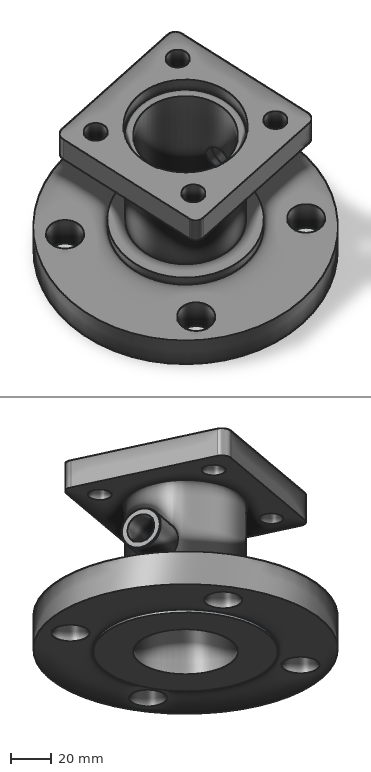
import cadquery as cq

pipe_diameter = 60.5
pipe_bore = 52.3

flange_diameter = 152.0
flange_thickness = 18.0
raised_face_diameter = 92.0
raised_face_height = 1.5
hub_diameter = 78.0
hub_height = 5.5
flange_bolt_circle = 120.7
flange_bolt_hole = 19.0

total_height = 95.0
square_side = 92.0
square_thickness = 15.0
square_corner_radius = 5.0
square_bolt_circle = 90.0
square_bolt_hole = 12.0
square_bore = 62.0
pipe_setback = 7.0

socket_diameter = 22.0
socket_bore = 15.0
socket_inner_y = 29.8
socket_length = 19.5
socket_outer_y = socket_inner_y + socket_length
socket_edge_chamfer = 0.5

flange_bottom = raised_face_height
flange_top = flange_bottom + flange_thickness
hub_top = flange_top + hub_height
square_bottom = total_height - square_thickness
pipe_top = total_height - pipe_setback
socket_height = total_height / 2


def cylinder(diameter, bottom, top):
    """Cylinder on the pipe axis."""
    return cq.Workplane("XY").workplane(offset=bottom).circle(diameter / 2).extrude(top - bottom)


def bolt_holes(bolt_circle, diameter, bottom, top):
    """Four cylinders on the diagonals of X and Y."""
    return (
        cq.Workplane("XY")
        .workplane(offset=bottom)
        .polarArray(bolt_circle / 2, 45, 360, 4)
        .circle(diameter / 2)
        .extrude(top - bottom)
    )


def cylinder_along_y(diameter, start, end):
    """Cylinder on the socket axis."""
    return (
        cq.Workplane("XZ", origin=(0, start, socket_height))
        .circle(diameter / 2)
        .extrude(start - end)
    )


def make_socket():
    """Socket with a through bore and a chamfered outer rim."""
    body = cylinder_along_y(socket_diameter, socket_inner_y, socket_outer_y)
    body = body.faces(">Y").edges().chamfer(socket_edge_chamfer)
    return body.cut(cylinder_along_y(socket_bore, socket_inner_y, socket_outer_y))


def make_pipe():
    """Pipe standing on the hub, with a side hole and a flat seat for the socket."""
    body = cylinder(pipe_diameter, hub_top, pipe_top)
    body = body.cut(cylinder(pipe_bore, hub_top, pipe_top))
    body = body.cut(cylinder_along_y(socket_bore, 0, socket_outer_y))
    return body.cut(cylinder_along_y(socket_diameter, socket_inner_y, socket_outer_y))


def make_round_flange():
    """Round flange with its raised face, hub, pipe bore and bolt holes."""
    body = cylinder(raised_face_diameter, 0, flange_bottom)
    body = body.union(cylinder(flange_diameter, flange_bottom, flange_top))
    body = body.union(cylinder(hub_diameter, flange_top, hub_top))
    body = body.cut(cylinder(pipe_bore, 0, hub_top))
    return body.cut(bolt_holes(flange_bolt_circle, flange_bolt_hole, flange_bottom, flange_top))


def make_square_flange():
    """Rounded square flange around the pipe, with a clearance bore and bolt holes."""
    body = (
        cq.Workplane("XY")
        .workplane(offset=square_bottom)
        .rect(square_side, square_side)
        .extrude(square_thickness)
        .edges("|Z")
        .fillet(square_corner_radius)
    )
    body = body.cut(cylinder(square_bore, square_bottom, total_height))
    return body.cut(bolt_holes(square_bolt_circle, square_bolt_hole, square_bottom, total_height))


pipe = make_pipe()
round_flange = make_round_flange()
square_flange = make_square_flange()
socket = make_socket()

result = cq.Compound.makeCompound(
    [round_flange.val(), pipe.val(), square_flange.val(), socket.val()]
)